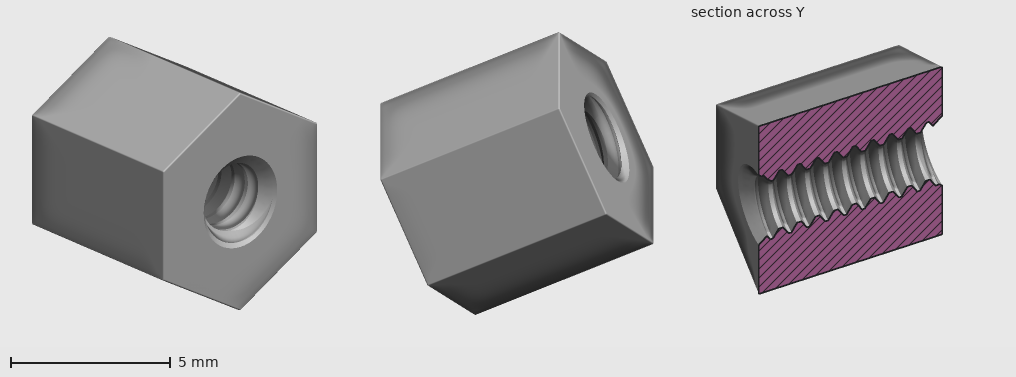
import cadquery as cq
import math

LENGTH = 6.35
ACROSS_FLATS = 6.35
EDGE_RADIUS = 0.05

INCH = 25.4
THREADS_PER_INCH = 40
PITCH = INCH / THREADS_PER_INCH
NO_4_DIAMETER = 0.112 * INCH
MAJOR_RADIUS = NO_4_DIAMETER / 2
SHARP_V_HEIGHT = PITCH * math.sqrt(3) / 2
MINOR_RADIUS = MAJOR_RADIUS - 5 / 8 * SHARP_V_HEIGHT
ROOT_WIDTH = 0.093
HALF_FLANK_ANGLE = math.radians(30)
THREAD_START = -0.028
BORE_OVERLAP = 0.04

COUNTERSINK_RADIUS = 1.515


def hexagon_body():
    across_corners = ACROSS_FLATS / math.cos(math.pi / 6)
    body = cq.Workplane("YZ").polygon(6, across_corners).extrude(LENGTH)
    body = body.rotate((0, 0, 0), (1, 0, 0), 90)
    return body.edges().fillet(EDGE_RADIUS)


def thread_groove():
    """Helical trapezoid cutter, running one pitch past each end of the body."""
    inner_radius = MINOR_RADIUS - BORE_OVERLAP
    half_root = ROOT_WIDTH / 2
    half_mouth = half_root + (MAJOR_RADIUS - inner_radius) * math.tan(HALF_FLANK_ANGLE)
    start = THREAD_START - PITCH
    turns = math.ceil(LENGTH / PITCH) + 2

    helix = cq.Wire.makeHelix(PITCH, turns * PITCH, MINOR_RADIUS, cq.Vector(0, 0, start))
    profile = cq.Workplane("XZ").polyline([
        (inner_radius, start - half_mouth),
        (MAJOR_RADIUS, start - half_root),
        (MAJOR_RADIUS, start + half_root),
        (inner_radius, start + half_mouth),
    ]).close()
    groove = profile.sweep(cq.Workplane(obj=helix), isFrenet=True)
    return groove.rotate((0, 0, 0), (1, 1, 1), 120)


def countersink(end_x, inward):
    """Cone with its base on the end face, narrowing to a point inside the bore."""
    depth = COUNTERSINK_RADIUS
    base_centre = cq.Vector(end_x, 0, 0)
    direction = cq.Vector(inward, 0, 0)
    cone = cq.Solid.makeCone(COUNTERSINK_RADIUS, 0, depth, pnt=base_centre, dir=direction)
    return cq.Workplane(obj=cone)


def bore():
    return cq.Workplane("YZ").circle(MINOR_RADIUS).extrude(LENGTH)


result = hexagon_body().cut(thread_groove()).cut(bore())
for end_x, inward in ((0, 1), (LENGTH, -1)):
    result = result.cut(countersink(end_x, inward))